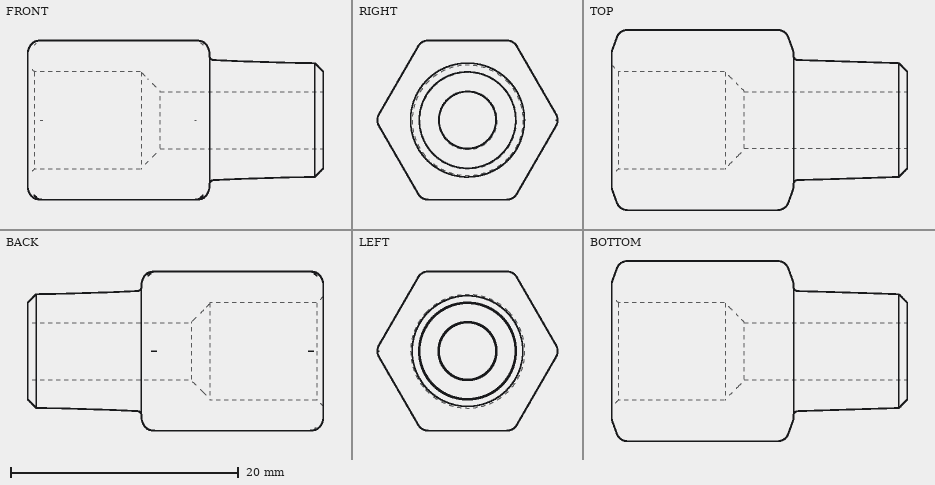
import cadquery as cq
import math

total_length = 26.0
hex_length = 16.0

across_flats = 14.0
hex_edge_radius = 1.0
end_face_radius = 6.0
bevel_angle = 20.0
bevel_blend_radius = 1.0
rim_radius = 1.0

stub_root_radius = 5.3
stub_taper = 1 / 32
stub_chamfer = 0.75
root_fillet = 0.35

through_radius = 2.5
socket_radius = 4.283
socket_mouth_radius = 4.864
socket_depth = 10.0
funnel_angle = 90.0
ledge_width = 0.08


def revolve_about_axis(points):
    """Solid of revolution about X from (x, radius) outline points."""
    profile = cq.Workplane("XY").polyline(points).close()
    return profile.revolve(360, (0, 0, 0), (1, 0, 0))


def bevel_envelope():
    """Solid of revolution that bevels both hexagon ends, with the bevels blended into the end faces."""
    bevel = math.radians(bevel_angle)
    outer_radius = across_flats
    bevel_depth = (outer_radius - end_face_radius) * math.tan(bevel)

    blend_inner = end_face_radius - bevel_blend_radius * math.tan(bevel / 2)

    def blend_point(angle):
        """Depth below the end face and radius of a point on the blend arc."""
        depth = bevel_blend_radius * (1 - math.cos(angle))
        return depth, blend_inner + bevel_blend_radius * math.sin(angle)

    middle_depth, middle_radius = blend_point(bevel / 2)
    outer_depth, blend_outer = blend_point(bevel)
    profile = (
        cq.Workplane("XY")
        .lineTo(0, blend_inner)
        .threePointArc((middle_depth, middle_radius), (outer_depth, blend_outer))
        .lineTo(bevel_depth, outer_radius)
        .lineTo(hex_length - bevel_depth, outer_radius)
        .lineTo(hex_length - outer_depth, blend_outer)
        .threePointArc((hex_length - middle_depth, middle_radius), (hex_length, blend_inner))
        .lineTo(hex_length, 0)
        .close()
    )
    return profile.revolve(360, (0, 0, 0), (1, 0, 0))


def hex_body():
    """Hexagonal prism with rounded edges and softened conical bevels at both ends."""
    across_corners = across_flats / math.cos(math.pi / 6)
    prism = cq.Workplane("YZ").polygon(6, across_corners).extrude(hex_length)
    prism = prism.edges("|X").fillet(hex_edge_radius)
    body = prism.intersect(bevel_envelope())
    return body.edges("not (%LINE or %CIRCLE)").fillet(rim_radius)


def stub():
    """Tapered stub with a chamfered tip, rooted inside the hexagonal body."""
    tip_radius = stub_root_radius - stub_taper * (total_length - hex_length)
    chamfer_start = total_length - stub_chamfer
    return revolve_about_axis([
        (hex_length / 2, 0),
        (hex_length / 2, stub_root_radius),
        (hex_length, stub_root_radius),
        (chamfer_start, tip_radius + stub_taper * stub_chamfer),
        (total_length, tip_radius - stub_chamfer),
        (total_length, 0),
    ])


def bore():
    """Chamfered socket that funnels down to a narrower through hole."""
    mouth_chamfer = socket_mouth_radius - socket_radius
    funnel_top_radius = socket_radius - ledge_width
    funnel_bottom_radius = through_radius + ledge_width
    funnel_depth = (funnel_top_radius - funnel_bottom_radius) / math.tan(math.radians(funnel_angle / 2))
    funnel_end = socket_depth + funnel_depth
    return revolve_about_axis([
        (0, 0),
        (0, socket_mouth_radius),
        (mouth_chamfer, socket_radius),
        (socket_depth, socket_radius),
        (socket_depth, funnel_top_radius),
        (funnel_end, funnel_bottom_radius),
        (funnel_end, through_radius),
        (total_length, through_radius),
        (total_length, 0),
    ])


def is_root_edge(edge):
    """True for the circle where the stub meets the hexagonal body."""
    return edge.geomType() == "CIRCLE" and math.isclose(edge.radius(), stub_root_radius, abs_tol=1e-6)


outer_form = hex_body().union(stub()).edges().filter(is_root_edge).fillet(root_fillet)
result = outer_form.cut(bore())